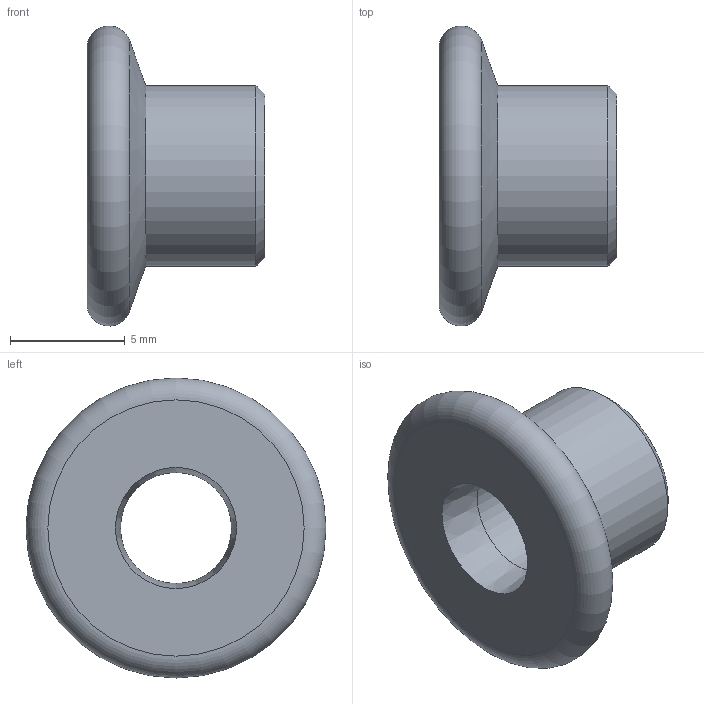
import cadquery as cq
import math

total_length = 7.75
flange_radius = 6.54
rim_round_radius = 0.955
flange_back_angle = math.radians(19.5)

hub_radius = 3.925
hub_chamfer_length = 0.39
hub_chamfer_depth = 0.365

bore_radius = 2.42
bore_mouth_radius = 2.64
bore_taper_length = 1.95

rim_center_radius = flange_radius - rim_round_radius
rim_end_x = rim_round_radius * (1 + math.cos(flange_back_angle))
rim_end_radius = rim_center_radius + rim_round_radius * math.sin(flange_back_angle)
hub_start_x = rim_end_x + (rim_end_radius - hub_radius) * math.tan(flange_back_angle)


def revolve_about_x(profile):
    """Revolve a closed (x, radius) profile one full turn about the X axis."""
    return profile.revolve(360, (0, 0, 0), (1, 0, 0))


def make_body():
    """Flange with rounded rim and conical back, carrying the chamfered hub."""
    profile = (
        cq.Workplane("XZ")
        .moveTo(0, 0)
        .lineTo(0, rim_center_radius)
        .threePointArc((rim_round_radius, flange_radius), (rim_end_x, rim_end_radius))
        .lineTo(hub_start_x, hub_radius)
        .lineTo(total_length - hub_chamfer_length, hub_radius)
        .lineTo(total_length, hub_radius - hub_chamfer_depth)
        .lineTo(total_length, 0)
        .close()
    )
    return revolve_about_x(profile)


def make_bore():
    """Through bore with a tapered lead-in at the flange face."""
    profile = (
        cq.Workplane("XZ")
        .moveTo(0, 0)
        .lineTo(0, bore_mouth_radius)
        .lineTo(bore_taper_length, bore_radius)
        .lineTo(total_length, bore_radius)
        .lineTo(total_length, 0)
        .close()
    )
    return revolve_about_x(profile)


result = make_body().cut(make_bore())